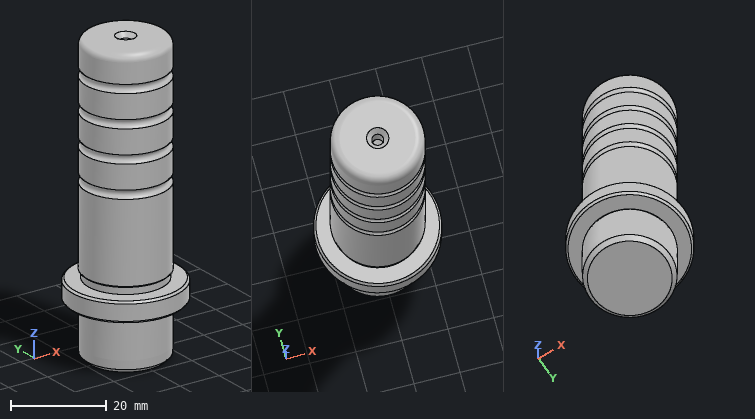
import cadquery as cq
import math

total_height = 73.0
flange_radius = 13.5
body_radius = 10.0
top_fillet = 2.05

flange_bottom = 13.0
flange_top = 17.95
edge_chamfer = 0.5
relief_radius = 9.5
upper_relief_height = 2.05
lower_relief_height = 0.5
relief_chamfer = 0.45
lower_shoulder_chamfer = 0.3

lead_radius = 9.9
lead_height = 3.1
foot_chamfer = 1.0

groove_count = 4
groove_pitch = 8.0
groove_width = 2.1
groove_depth = 0.65

hole_radius = 1.25
countersink_radius = 2.3
countersink_angle = 90.0
hole_depth = 4.4
drill_tip_angle = 120.0


def cone_height(large_radius, small_radius, full_angle):
    """Axial length of a cone between two radii."""
    return (large_radius - small_radius) / math.tan(math.radians(full_angle / 2))


def spin(profile):
    """Revolve a closed (radius, height) profile about the Z axis."""
    return profile.close().revolve(360, (0, 0, 0), (0, 1, 0))


def make_body():
    """Plain pin with its foot, flange, reliefs and rounded top."""
    lower_shoulder = flange_bottom - lower_relief_height
    upper_shoulder = flange_top + upper_relief_height
    fillet_middle = top_fillet * math.sqrt(0.5)
    profile = (
        cq.Workplane("XZ")
        .lineTo(lead_radius - foot_chamfer, 0)
        .lineTo(lead_radius, foot_chamfer)
        .lineTo(body_radius, lead_height)
        .lineTo(body_radius, lower_shoulder - lower_shoulder_chamfer)
        .lineTo(body_radius - lower_shoulder_chamfer, lower_shoulder)
        .lineTo(relief_radius, lower_shoulder)
        .lineTo(relief_radius, flange_bottom)
        .lineTo(flange_radius - edge_chamfer, flange_bottom)
        .lineTo(flange_radius, flange_bottom + edge_chamfer)
        .lineTo(flange_radius, flange_top - edge_chamfer)
        .lineTo(flange_radius - edge_chamfer, flange_top)
        .lineTo(relief_radius, flange_top)
        .lineTo(relief_radius, upper_shoulder - relief_chamfer)
        .lineTo(body_radius, upper_shoulder)
        .lineTo(body_radius, total_height - top_fillet)
        .threePointArc(
            (body_radius - top_fillet + fillet_middle, total_height - top_fillet + fillet_middle),
            (body_radius - top_fillet, total_height),
        )
        .lineTo(0, total_height)
    )
    return spin(profile)


def make_groove(middle_height):
    """Ring cutter whose arc runs groove_depth below the pin surface."""
    half_width = groove_width / 2
    profile = (
        cq.Workplane("XZ")
        .moveTo(flange_radius, middle_height - half_width)
        .lineTo(body_radius, middle_height - half_width)
        .threePointArc(
            (body_radius - groove_depth, middle_height),
            (body_radius, middle_height + half_width),
        )
        .lineTo(flange_radius, middle_height + half_width)
    )
    return spin(profile)


def make_centre_hole():
    """Countersunk blind hole with a conical drill tip."""
    countersink_depth = cone_height(countersink_radius, hole_radius, countersink_angle)
    hole_floor = total_height - hole_depth
    profile = (
        cq.Workplane("XZ")
        .moveTo(0, total_height)
        .lineTo(countersink_radius, total_height)
        .lineTo(hole_radius, total_height - countersink_depth)
        .lineTo(hole_radius, hole_floor)
        .lineTo(0, hole_floor - cone_height(hole_radius, 0, drill_tip_angle))
    )
    return spin(profile)


result = make_body().cut(make_centre_hole())
for index in range(groove_count):
    result = result.cut(make_groove(total_height - (index + 1) * groove_pitch))